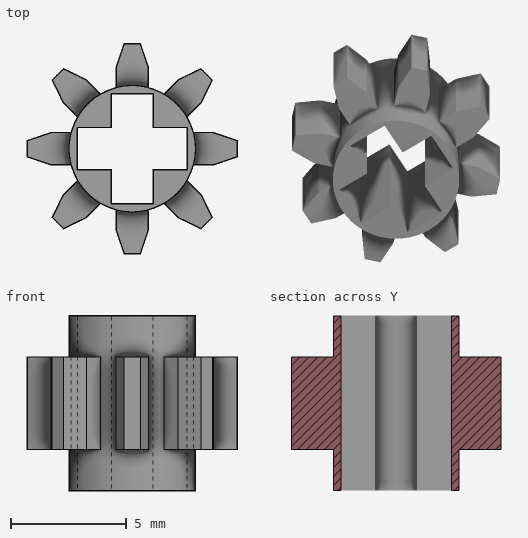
import cadquery as cq

hub_diameter = 5.45
hub_height = 7.56

tooth_count = 8
tooth_height = 4.0
tooth_width = 1.4
tip_width = 0.7
taper_start_radius = 3.5
tip_radius = 4.53

axle_span = 4.74
axle_arm_width = 1.81


def make_hub():
    return cq.Workplane("XY").circle(hub_diameter / 2).extrude(hub_height / 2, both=True)


def make_tooth(angle):
    """Tooth pointing along +X, turned about Z; its root is buried inside the hub wall."""
    root_radius = (axle_span + hub_diameter) / 4
    half_outline = [
        (root_radius, tooth_width / 2),
        (taper_start_radius, tooth_width / 2),
        (tip_radius, tip_width / 2),
    ]
    mirrored_outline = [(x, -y) for x, y in reversed(half_outline)]
    tooth = (
        cq.Workplane("XY")
        .polyline(half_outline + mirrored_outline)
        .close()
        .extrude(tooth_height / 2, both=True)
    )
    return tooth.rotate((0, 0, 0), (0, 0, 1), angle)


def make_axle_hole():
    arm_x = cq.Workplane("XY").box(axle_span, axle_arm_width, hub_height)
    arm_y = cq.Workplane("XY").box(axle_arm_width, axle_span, hub_height)
    return arm_x.union(arm_y)


gear = make_hub()
for index in range(tooth_count):
    gear = gear.union(make_tooth(index * 360 / tooth_count))

result = gear.cut(make_axle_hole())